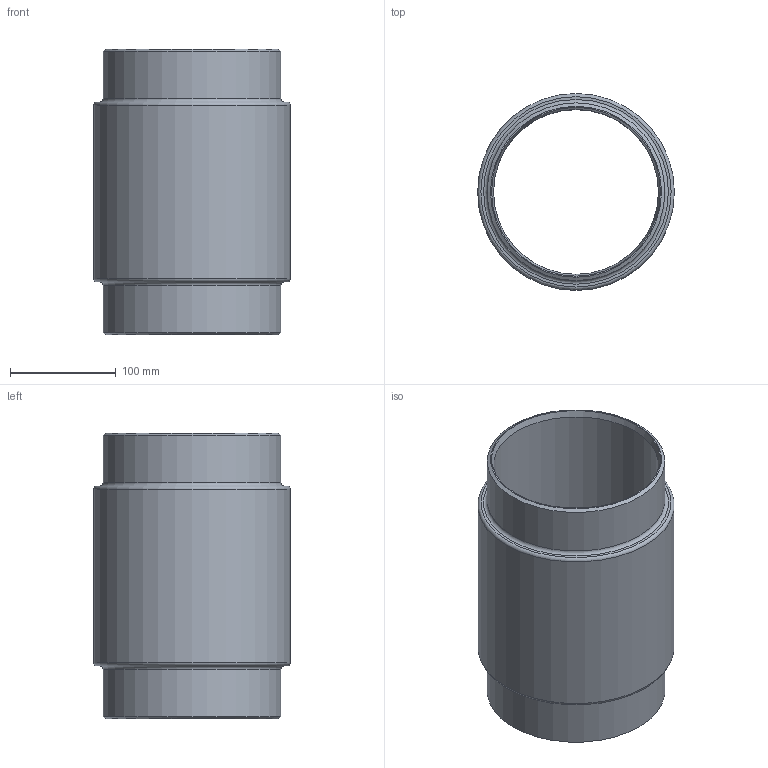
import cadquery as cq

total_length = 270.0
body_length = 170.0
body_diameter = 185.9
neck_diameter = 168.0
bore_diameter = 156.0

body_edge_radius = 3.0
neck_root_radius = 3.3

bevel_depth = 2.0
bevel_width = 3.2
end_face_width = 1.0
mouth_depth = 6.0

body_radius = body_diameter / 2
neck_radius = neck_diameter / 2
bore_radius = bore_diameter / 2
end_outer_radius = neck_radius - bevel_width
mouth_radius = end_outer_radius - end_face_width
end_height = total_length / 2
shoulder_height = body_length / 2

match_tolerance = 0.01


def make_neck_tube():
    """Full-length tube with bevelled ends and tapered mouths, revolved about Z."""
    bevel_height = end_height - bevel_depth
    mouth_height = end_height - mouth_depth
    section = cq.Workplane("XZ").polyline([
        (neck_radius, -bevel_height),
        (neck_radius, bevel_height),
        (end_outer_radius, end_height),
        (mouth_radius, end_height),
        (bore_radius, mouth_height),
        (bore_radius, -mouth_height),
        (mouth_radius, -end_height),
        (end_outer_radius, -end_height),
    ]).close()
    return section.revolve(360, (0, 0, 0), (0, 1, 0))


def make_body_ring():
    """Thicker middle of the sleeve, with rounded outer edges."""
    drum = cq.Workplane("XY").cylinder(body_length, body_radius)
    rounded_drum = drum.edges("%CIRCLE").fillet(body_edge_radius)
    bore = cq.Workplane("XY").cylinder(body_length, bore_radius)
    return rounded_drum.cut(bore)


def is_neck_root(edge):
    """True for the two inside corners where a neck meets a shoulder."""
    on_neck = abs(edge.radius() - neck_radius) < match_tolerance
    on_shoulder = abs(abs(edge.Center().z) - shoulder_height) < match_tolerance
    return on_neck and on_shoulder


def make_sleeve():
    """Tube and body ring joined, with rounded neck roots."""
    joined = make_neck_tube().union(make_body_ring())
    return joined.edges("%CIRCLE").filter(is_neck_root).fillet(neck_root_radius)


result = make_sleeve()